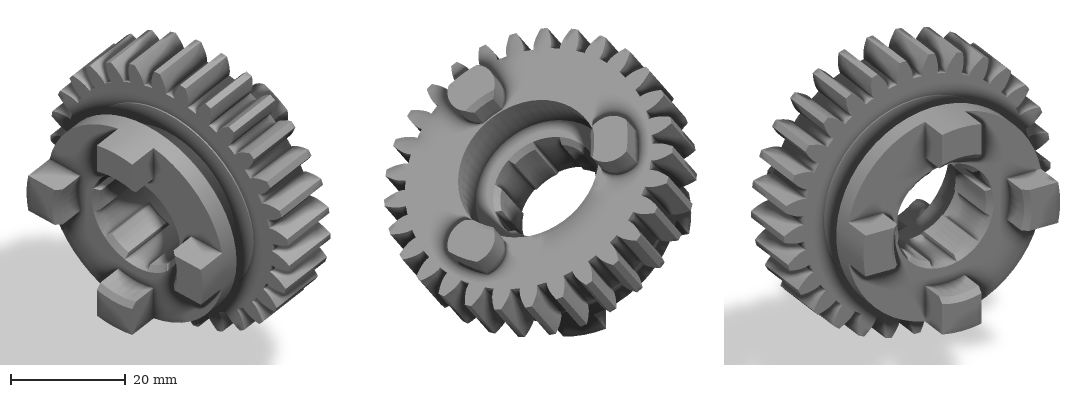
import cadquery as cq
import math


overall_width = 54.2
tooth_count = 29
pressure_angle = math.radians(20)
root_depth_factor = 1.25
flank_points = 6

flange_front = 5.8
flange_back = 9.5
step_front = 14.75
gear_front = 15.0
gear_back = 26.25
back_dog_end = 31.5

flange_radius = 20.0
neck_radius = 15.0
step_radius = 19.1
flange_chamfer = 0.25

bore_radius = 10.0
spline_inner_radius = 9.0
spline_slot_count = 6
spline_slot_width = 5.0
recess_start = 18.0
recess_radius = 13.25

dog_chamfer = 1.0
front_dog_count = 4
front_dog_inner_radius = 13.25
front_dog_width = 8.0
back_dog_count = 3
back_dog_inner_radius = 13.5
back_dog_pin_radius = 4.45
back_dog_pitch_radius = 17.3
back_dog_outer_radius = 20.75


def involute(angle):
    return math.tan(angle) - angle


def tooth_half_angle(pitch_fraction):
    """Half the angle a tooth spans where the radius is pitch_fraction of the pitch radius.

    Inside the base circle the tooth keeps the angle it has at the base circle.
    """
    local_pressure_angle = math.acos(min(1.0, math.cos(pressure_angle) / pitch_fraction))
    return math.pi / (2 * tooth_count) + involute(pressure_angle) - involute(local_pressure_angle)


tip_fraction = 1 + 2 / tooth_count
nearest_tip_angle = math.pi / 2 / tooth_count - tooth_half_angle(tip_fraction)
tip_radius = overall_width / 2 / math.cos(nearest_tip_angle)
pitch_radius = tip_radius / tip_fraction
module = 2 * pitch_radius / tooth_count
root_radius = pitch_radius - root_depth_factor * module


def polar(radius, angle):
    return (radius * math.cos(angle), radius * math.sin(angle))


def along_y(start):
    """Sketch plane at Y = start with local x along X and local y along Z; extrude(-d) goes toward +Y."""
    return cq.Workplane("XZ", origin=(0, start, 0))


def cylinder(radius, start, end):
    return along_y(start).circle(radius).extrude(start - end)


def cone(start_radius, end_radius, start, end):
    profile = [(0, start), (start_radius, start), (end_radius, end), (0, end)]
    return cq.Workplane("XY").polyline(profile).close().revolve(360, (0, 0, 0), (0, 1, 0))


def make_gear():
    pitch_angle = 2 * math.pi / tooth_count
    flank_step = (tip_radius - root_radius) / (flank_points - 1)
    flank_radii = [root_radius + i * flank_step for i in range(flank_points)]
    half_angles = [tooth_half_angle(r / pitch_radius) for r in flank_radii]
    flank = list(zip(flank_radii, half_angles))
    root_half_angle = half_angles[0]

    first_tooth = -math.pi / 2
    outline = along_y(gear_front).moveTo(*polar(root_radius, first_tooth - root_half_angle))
    for index in range(tooth_count):
        center = first_tooth + index * pitch_angle
        rising = [polar(radius, center - angle) for radius, angle in flank]
        falling = [polar(radius, center + angle) for radius, angle in reversed(flank)]
        outline = outline.spline(rising[1:], includeCurrent=True)
        outline = outline.threePointArc(polar(tip_radius, center), falling[0])
        outline = outline.spline(falling[1:], includeCurrent=True)
        gap_middle = polar(root_radius, center + pitch_angle / 2)
        next_tooth = polar(root_radius, center + pitch_angle - root_half_angle)
        outline = outline.threePointArc(gap_middle, next_tooth)
    return outline.close().extrude(gear_front - gear_back)


def make_collar():
    flange = cylinder(flange_radius, flange_front, flange_back).faces(">Y").chamfer(flange_chamfer)
    neck = cylinder(neck_radius, flange_front, gear_front)
    gear_step = cylinder(step_radius, step_front, gear_front)
    return flange.union(neck).union(gear_step)


def make_front_dogs():
    dogs = cylinder(flange_radius, 0, flange_front)
    dogs = dogs.cut(cylinder(front_dog_inner_radius, 0, flange_front))
    dogs = dogs.cut(cone(front_dog_inner_radius + dog_chamfer, front_dog_inner_radius, 0, dog_chamfer))
    bars = (
        along_y(0)
        .polarArray(flange_radius / 2, 0, 360, front_dog_count)
        .rect(flange_radius, front_dog_width)
        .extrude(-flange_front)
    )
    return dogs.intersect(bars)


def make_back_dogs():
    chamfer_start = back_dog_end - dog_chamfer
    ring = cylinder(back_dog_outer_radius, gear_back, back_dog_end)
    ring = ring.cut(cylinder(back_dog_inner_radius, gear_back, back_dog_end))
    chamfer_radius = back_dog_inner_radius + dog_chamfer
    ring = ring.cut(cone(back_dog_inner_radius, chamfer_radius, chamfer_start, back_dog_end))
    pins = (
        along_y(gear_back)
        .polarArray(back_dog_pitch_radius, 180, 360, back_dog_count)
        .circle(back_dog_pin_radius)
        .extrude(gear_back - back_dog_end)
    )
    return ring.intersect(pins)


def make_bore():
    spline_depth = bore_radius - spline_inner_radius
    lead_in_end = flange_front + spline_depth
    lead_out_start = recess_start - spline_depth
    bore = cylinder(spline_inner_radius, flange_front, recess_start)
    slots = (
        along_y(flange_front)
        .polarArray(bore_radius / 2, 90, 360, spline_slot_count)
        .rect(bore_radius, spline_slot_width)
        .extrude(flange_front - recess_start)
        .intersect(cylinder(bore_radius, flange_front, recess_start))
    )
    lead_in = cone(bore_radius, spline_inner_radius, flange_front, lead_in_end)
    lead_out = cone(spline_inner_radius, bore_radius, lead_out_start, recess_start)
    recess = cylinder(recess_radius, recess_start, gear_back)
    return bore.union(slots).union(lead_in).union(lead_out).union(recess)


body = make_gear().union(make_collar()).cut(make_bore())
result = body.union(make_front_dogs()).union(make_back_dogs())